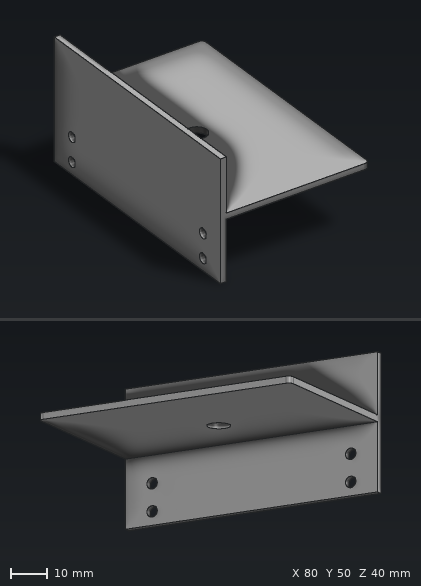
import cadquery as cq

width = 80.0
depth = 50.0
height = 40.0
thickness = 2.0

shelf_bottom = height / 2
shelf_corner_radius = 1.5
shelf_hole_diameter = 6.5
shelf_hole_y = 20.0

mount_hole_diameter = 3.2
mount_hole_spacing = 63.0
mount_hole_heights = (4.0, 12.0)


def make_face_plate():
    """Upright plate with its front face on Y = 0 and its lower edge on Z = 0."""
    return cq.Workplane("XY").box(width, thickness, height, centered=(True, False, False))


def make_shelf():
    """Horizontal plate reaching back from the face plate, with rounded rear corners."""
    return (
        cq.Workplane("XY")
        .workplane(offset=shelf_bottom)
        .box(width, depth, thickness, centered=(True, False, False))
        .edges("|Z and >Y")
        .fillet(shelf_corner_radius)
    )


def make_mount_holes():
    """Cutters for the mounting holes, running through the face plate along Y."""
    half_spacing = mount_hole_spacing / 2
    centres = [(x, z) for x in (-half_spacing, half_spacing) for z in mount_hole_heights]
    return (
        cq.Workplane("XZ")
        .pushPoints(centres)
        .circle(mount_hole_diameter / 2)
        .extrude(-thickness)
    )


def make_shelf_hole():
    """Cutter for the single hole through the shelf, on the part's centre line."""
    return (
        cq.Workplane("XY")
        .workplane(offset=shelf_bottom)
        .center(0, shelf_hole_y)
        .circle(shelf_hole_diameter / 2)
        .extrude(thickness)
    )


bracket = make_face_plate().union(make_shelf())
result = bracket.cut(make_mount_holes()).cut(make_shelf_hole())